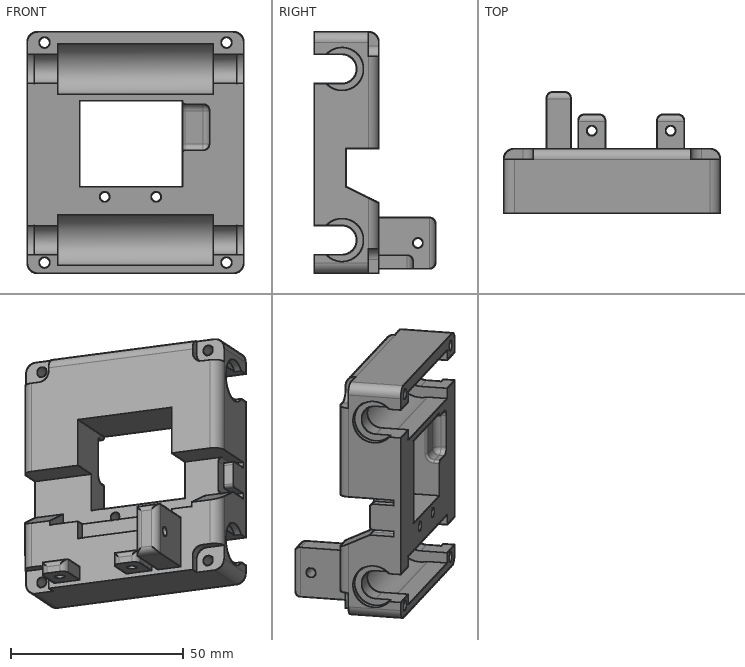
import cadquery as cq

WIDTH = 63.0
HEIGHT = 70.2
DEPTH = 18.8
CORNER_RADIUS = 3.1
SHELF_DEPTH = DEPTH - CORNER_RADIUS

ROLLER_HEIGHTS = (9.7, 59.4)
AXIS_DEPTH = 8.1
ROLLER_RADIUS = 7.6
ROLLER_OPENING = 14.6
ROLLER_LENGTH = 45.1
ROLLER_LEFT = (WIDTH - ROLLER_LENGTH) / 2
ROLLER_RIGHT = ROLLER_LEFT + ROLLER_LENGTH
SHAFT_SLOT_WIDTH = 8.4
BEARING_RADIUS = 6.25
BEARING_DEPTH = 2.1

HOLE_DIAMETER = 3.0
HOLE_SIDE_OFFSET = 5.05
HOLE_END_OFFSET = 3.15
NOTCH_WIDTH = 8.6
NOTCH_HEIGHT = 7.15

WINDOW_LEFT = 15.3
WINDOW_RIGHT = 45.1
WINDOW_BOTTOM = 25.2
WINDOW_TOP = 50.1
POCKET_RIGHT = 53.0
POCKET_BOTTOM = 35.7
POCKET_TOP = 49.2
POCKET_DEPTH = 3.65
POCKET_RADIUS = 2.0
POCKET_MOUTH_RADIUS = 0.8
MOUTH_MARGIN = 0.1
SMALL_HOLE_DIAMETER = 2.8
WINDOW_HOLE_X = (22.5, 37.5)
WINDOW_HOLE_Z = 22.25

CHANNEL_FLOOR = 9.3
CHANNEL_TOP = 36.2
CHANNEL_SLOPE_END = 20.5
LEDGE_HEIGHT = 19.2
GAP_BOTTOM = 14.05

STRAP_FRONT = 2.1
STRAP_THICKNESS = 1.6
STRAP_REACH = 4.6
STRAP_RADIUS = 1.1
STRAP_BLOCK_RADIUS = 1.0

LUG_BOTTOM = 1.3
LUG_RADIUS = 2.0
TALL_LUG_LEFT = 12.4
TALL_LUG_WIDTH = 7.15
TALL_LUG_HEIGHT = 14.95
TALL_LUG_END = 35.3
TALL_LUG_HOLE_Y = 30.1
TALL_LUG_HOLE_Z = 8.85
FLAT_LUG_LEFTS = (21.6, 44.5)
FLAT_LUG_WIDTH = 8.0
FLAT_LUG_THICKNESS = 4.0
FLAT_LUG_TOP = LUG_BOTTOM + FLAT_LUG_THICKNESS
FLAT_LUG_END = 28.8
FLAT_LUG_HOLE_Y = 24.0


def box(x0, x1, y0, y1, z0, z1):
    """Box between two opposite corners."""
    return cq.Workplane("XY").box(x1 - x0, y1 - y0, z1 - z0, centered=False).translate((x0, y0, z0))


def cylinder_y(x, z, diameter):
    """Cylinder along Y through the whole depth of the body."""
    return cq.Workplane("XZ", origin=(x, 0, z)).circle(diameter / 2).extrude(-DEPTH)


def cylinder_x(y, z, radius, x0, x1):
    """Cylinder along X between two X positions."""
    return cq.Workplane("YZ", origin=(x0, y, z)).circle(radius).extrude(x1 - x0)


def open_slot(z, radius, width, x0, x1):
    """Round bore along X with a straight opening of the given width to the front face."""
    opening = box(x0, x1, 0, AXIS_DEPTH, z - width / 2, z + width / 2)
    return opening.union(cylinder_x(AXIS_DEPTH, z, radius, x0, x1))


def body():
    outline = box(0, WIDTH, 0, DEPTH, 0, HEIGHT).edges("|Y").fillet(CORNER_RADIUS)
    rounded_back = box(0, WIDTH, 0, DEPTH, 0, HEIGHT).edges(">Y and (not <Z)").fillet(CORNER_RADIUS)
    return outline.intersect(rounded_back)


def corner_notch(x_side, z_side):
    x0 = 0 if x_side < 0 else WIDTH - NOTCH_WIDTH
    z0 = 0 if z_side < 0 else HEIGHT - NOTCH_HEIGHT
    notch = box(x0, x0 + NOTCH_WIDTH, SHELF_DEPTH, DEPTH, z0, z0 + NOTCH_HEIGHT)
    inner_x = "<X" if x_side > 0 else ">X"
    inner_z = "<Z" if z_side > 0 else ">Z"
    return notch.faces(inner_x).edges(inner_z).fillet(CORNER_RADIUS)


def cut_corners(part):
    for x_side in (-1, 1):
        for z_side in (-1, 1):
            part = part.cut(corner_notch(x_side, z_side))
            x = WIDTH / 2 + x_side * (WIDTH / 2 - HOLE_SIDE_OFFSET)
            z = HEIGHT / 2 + z_side * (HEIGHT / 2 - HOLE_END_OFFSET)
            part = part.cut(cylinder_y(x, z, HOLE_DIAMETER))
    return part


def cut_roller_housing(part, z):
    part = part.cut(open_slot(z, SHAFT_SLOT_WIDTH / 2, SHAFT_SLOT_WIDTH, 0, WIDTH))
    part = part.cut(open_slot(z, ROLLER_RADIUS, ROLLER_OPENING, ROLLER_LEFT, ROLLER_RIGHT))
    for x0 in (0, WIDTH - BEARING_DEPTH):
        part = part.cut(cylinder_x(AXIS_DEPTH, z, BEARING_RADIUS, x0, x0 + BEARING_DEPTH))
    return part


def cut_channel(part):
    channel = (
        cq.Workplane("YZ")
        .moveTo(CHANNEL_FLOOR, CHANNEL_TOP)
        .lineTo(DEPTH, CHANNEL_TOP)
        .lineTo(DEPTH, CHANNEL_SLOPE_END)
        .lineTo(CHANNEL_FLOOR, WINDOW_BOTTOM)
        .close()
        .extrude(WIDTH)
    )
    ledge = box(ROLLER_LEFT, ROLLER_RIGHT, CHANNEL_FLOOR, DEPTH, LEDGE_HEIGHT, WINDOW_BOTTOM)
    gap = box(WINDOW_LEFT, WINDOW_RIGHT, SHELF_DEPTH, DEPTH, GAP_BOTTOM, WINDOW_BOTTOM)
    return part.cut(channel).cut(ledge).cut(gap)


def cut_strap_groove(part):
    groove = box(0, STRAP_REACH, STRAP_FRONT, CHANNEL_FLOOR, WINDOW_BOTTOM, CHANNEL_TOP)
    groove = groove.faces(">X").edges("|Y").fillet(STRAP_RADIUS)
    block = box(
        0,
        STRAP_REACH - STRAP_THICKNESS,
        STRAP_FRONT,
        CHANNEL_FLOOR,
        WINDOW_BOTTOM + STRAP_THICKNESS,
        CHANNEL_TOP - STRAP_THICKNESS,
    )
    block = block.faces(">Y").edges("|X").fillet(STRAP_BLOCK_RADIUS)
    return part.cut(groove.cut(block))


def cut_window(part):
    part = part.cut(box(WINDOW_LEFT, WINDOW_RIGHT, 0, DEPTH, WINDOW_BOTTOM, WINDOW_TOP))
    for x in WINDOW_HOLE_X:
        part = part.cut(cylinder_y(x, WINDOW_HOLE_Z, SMALL_HOLE_DIAMETER))
    pocket = box(WINDOW_LEFT, POCKET_RIGHT, 0, POCKET_DEPTH, POCKET_BOTTOM, POCKET_TOP)
    pocket = pocket.edges("(>Y and (not <X)) or (>X and |Y)").fillet(POCKET_RADIUS)
    part = part.cut(pocket)
    mouth = cq.selectors.BoxSelector(
        (WINDOW_RIGHT - MOUTH_MARGIN, 0, POCKET_BOTTOM - MOUTH_MARGIN),
        (WINDOW_RIGHT + MOUTH_MARGIN, POCKET_DEPTH + MOUTH_MARGIN, POCKET_TOP + MOUTH_MARGIN),
    )
    return part.edges(mouth).fillet(POCKET_MOUTH_RADIUS)


def tall_lug():
    right = TALL_LUG_LEFT + TALL_LUG_WIDTH
    top = LUG_BOTTOM + TALL_LUG_HEIGHT
    lug = box(TALL_LUG_LEFT, right, SHELF_DEPTH, TALL_LUG_END, LUG_BOTTOM, top)
    lug = lug.faces(">Y").edges().fillet(LUG_RADIUS)
    hole = cylinder_x(TALL_LUG_HOLE_Y, TALL_LUG_HOLE_Z, SMALL_HOLE_DIAMETER / 2, TALL_LUG_LEFT, right)
    return lug.cut(hole)


def flat_lug(left):
    lug = box(left, left + FLAT_LUG_WIDTH, SHELF_DEPTH, FLAT_LUG_END, LUG_BOTTOM, FLAT_LUG_TOP)
    lug = lug.faces(">Y").edges("not <Z").fillet(LUG_RADIUS)
    hole = (
        cq.Workplane("XY", origin=(left + FLAT_LUG_WIDTH / 2, FLAT_LUG_HOLE_Y, LUG_BOTTOM))
        .circle(SMALL_HOLE_DIAMETER / 2)
        .extrude(FLAT_LUG_THICKNESS)
    )
    return lug.cut(hole)


result = cut_corners(body())
for roller_z in ROLLER_HEIGHTS:
    result = cut_roller_housing(result, roller_z)
result = cut_window(result)
result = cut_channel(result)
result = cut_strap_groove(result)
result = result.union(tall_lug())
for lug_left in FLAT_LUG_LEFTS:
    result = result.union(flat_lug(lug_left))